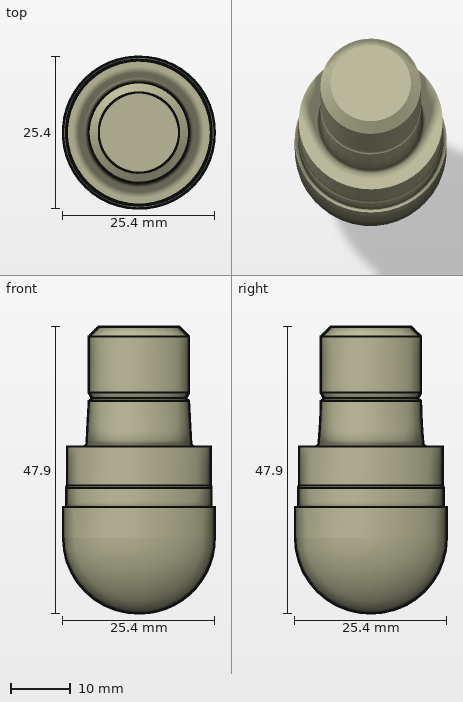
import cadquery as cq
import math

cap_radius = 12.7
cap_top_z = 17.8

collar_lower_radius = 12.15
collar_radius = 12.0
collar_step_bottom_z = 21.0
collar_step_top_z = 21.4
shoulder_z = 27.93

flare_size = 0.45
flare_top_z = shoulder_z + flare_size
neck_base_radius = 8.75
neck_top_z = 35.45

shank_radius = 8.4
groove_radius = 7.9
groove_floor_z = 35.9
groove_floor_width = 0.15
groove_top_z = 36.9
end_chamfer = 1.7
overall_height = 47.9


def make_cap():
    """Hemisphere running into a short cylinder with a flat top."""
    arc_offset = cap_radius * math.sqrt(0.5)
    profile = (
        cq.Workplane("XZ")
        .moveTo(0, 0)
        .threePointArc((arc_offset, cap_radius - arc_offset), (cap_radius, cap_radius))
        .lineTo(cap_radius, cap_top_z)
        .lineTo(0, cap_top_z)
        .close()
    )
    return profile.revolve(360, (0, 0), (0, 1))


def make_stud():
    """Collar, flared neck, groove and shank turned about Z, seated on the cap."""
    flare_outer_radius = neck_base_radius + flare_size
    flare_offset = flare_size * math.sqrt(0.5)
    flare_middle = (flare_outer_radius - flare_offset, flare_top_z - flare_offset)

    profile = (
        cq.Workplane("XZ")
        .moveTo(0, cap_top_z)
        .lineTo(collar_lower_radius, cap_top_z)
        .lineTo(collar_lower_radius, collar_step_bottom_z)
        .lineTo(collar_radius, collar_step_top_z)
        .lineTo(collar_radius, shoulder_z)
        .lineTo(flare_outer_radius, shoulder_z)
        .threePointArc(flare_middle, (neck_base_radius, flare_top_z))
        .lineTo(shank_radius, neck_top_z)
        .lineTo(groove_radius, groove_floor_z)
        .lineTo(groove_radius, groove_floor_z + groove_floor_width)
        .lineTo(shank_radius, groove_top_z)
        .lineTo(shank_radius, overall_height - end_chamfer)
        .lineTo(shank_radius - end_chamfer, overall_height)
        .lineTo(0, overall_height)
        .close()
    )
    return profile.revolve(360, (0, 0), (0, 1))


cap = make_cap()
stud = make_stud()

result = cq.Compound.makeCompound([cap.val(), stud.val()])